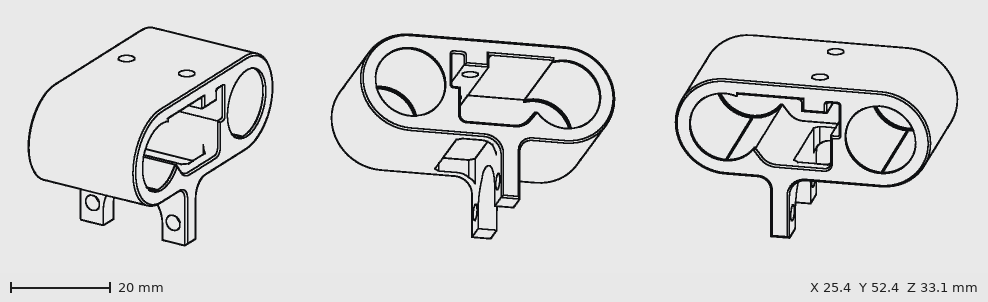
import cadquery as cq
import math

width = 25.4
length = 52.4
end_radius = 10.2
bore_offset = length / 2 - end_radius
edge_chamfer = 0.4

mouth_radius = 7.25
seat_radius = 7.5
lip_thickness = 0.7
seat_length = width - 2 * lip_thickness
groove_width = 0.2
groove_depth = 0.2

tab_bottom = -22.9
tab_back = -2.8
tab_front = -6.65
back_fillet = 3.5
front_fillet = 2.5
tab_hole_x = 9.55
tab_hole_z = -18.55
screw_radius = 1.6
arch_radius = 6.95
arch_center_z = -19.3

ceiling = 7.2
recess_ceiling = 6.9
recess_back = 7.45
ledge_height = -0.15
window_back = 5.65
floor_height = -7.35
floor_back_fillet = 1.25
recess_fillet = 0.4
ceiling_fillet = 0.9
ceiling_end = -13.6
ramp_start = -5.5
ramp_radius = 3.65
ramp_angle = math.radians(52)
crest_y = -9.8

block_back = 4.9
block_front = -0.2
block_bottom = 4.6
top_hole_x = 7.15
top_hole_y = (block_back + block_front) / 2

opening_length = 20.0
opening_front = -2.6
opening_chamfer = 1.05


def extrude_across(sketch):
    """Extrude a YZ outline over the full width, centred on X = 0."""
    return sketch.extrude(width / 2, both=True)


def cylinder_x(radius, y, span):
    """Cylinder along X at height zero, centred on X = 0."""
    return cq.Workplane("YZ").center(y, 0).circle(radius).extrude(span / 2, both=True)


def body_with_tab():
    back_tangent_y = tab_back + back_fillet
    front_tangent_y = tab_front - front_fillet
    outline = (
        cq.Workplane("YZ")
        .moveTo(-bore_offset, end_radius)
        .lineTo(bore_offset, end_radius)
        .threePointArc((length / 2, 0), (bore_offset, -end_radius))
        .lineTo(back_tangent_y, -end_radius)
        .radiusArc((tab_back, -end_radius - back_fillet), -back_fillet)
        .lineTo(tab_back, tab_bottom)
        .lineTo(tab_front, tab_bottom)
        .lineTo(tab_front, -end_radius - front_fillet)
        .radiusArc((front_tangent_y, -end_radius), -front_fillet)
        .lineTo(-bore_offset, -end_radius)
        .threePointArc((-length / 2, 0), (-bore_offset, end_radius))
        .close()
    )
    return extrude_across(outline)


def window():
    """Stepped opening with a curved ramp rising to the edge of the front bore."""
    ramp_end_y = ramp_start - ramp_radius * math.sin(ramp_angle)
    ramp_end_z = floor_height + ramp_radius * (1 - math.cos(ramp_angle))
    crest_z = ramp_end_z + (ramp_end_y - crest_y) * math.tan(ramp_angle)
    outline = (
        cq.Workplane("YZ")
        .moveTo(ceiling_end, ceiling)
        .lineTo(block_front, ceiling)
        .lineTo(block_front, block_bottom)
        .lineTo(block_back, block_bottom)
        .lineTo(block_back, recess_ceiling)
        .lineTo(recess_back, recess_ceiling)
        .lineTo(recess_back, ledge_height)
        .lineTo(window_back, ledge_height)
        .lineTo(window_back, floor_height)
        .lineTo(ramp_start, floor_height)
        .radiusArc((ramp_end_y, ramp_end_z), ramp_radius)
        .lineTo(crest_y, crest_z)
        .lineTo(ceiling_end, crest_z)
        .close()
    )
    return extrude_across(outline)


def edge_along_x(y, z):
    return cq.selectors.NearestToPointSelector((0, y, z))


def rounded_window():
    rounded = window()
    rounded = rounded.edges(edge_along_x(window_back, floor_height)).fillet(floor_back_fillet)
    corners = (
        (block_back, recess_ceiling),
        (recess_back, recess_ceiling),
        (recess_back, ledge_height),
    )
    for y, z in corners:
        rounded = rounded.edges(edge_along_x(y, z)).fillet(recess_fillet)
    return rounded


def chamfer_sides(body):
    """Chamfer both side outlines, except where the ceiling stops square at the front bore."""
    def is_chamfered(edge):
        return abs(edge.Center().y - ceiling_end) > edge_chamfer / 2

    return body.faces("<X or >X").edges().filter(is_chamfered).chamfer(edge_chamfer)


def ceiling_web():
    """Concave fillet between the block and the ceiling, stopping at the side chamfers."""
    return (
        cq.Workplane("YZ")
        .moveTo(block_front, ceiling)
        .lineTo(block_front, ceiling - ceiling_fillet)
        .radiusArc((block_front - ceiling_fillet, ceiling), -ceiling_fillet)
        .close()
        .extrude(width / 2 - edge_chamfer, both=True)
    )


def bearing_bore(y):
    """Through bore, widened between the lips."""
    return cylinder_x(mouth_radius, y, width).union(cylinder_x(seat_radius, y, seat_length))


def seat_groove(y):
    """Fine groove along the bottom of a bearing seat, between the two lips."""
    height = seat_radius + groove_depth
    groove = cq.Workplane("XY").box(seat_length, groove_width, height)
    return groove.translate((0, y, -height / 2))


def floor_opening():
    """Chamfered rectangular opening, from bore height down through the floor and tab fillet."""
    bottom = -end_radius - back_fillet
    return (
        cq.Workplane("XY", origin=(0, (window_back + opening_front) / 2, bottom))
        .rect(opening_length, window_back - opening_front)
        .extrude(-bottom)
        .edges("|Z")
        .chamfer(opening_chamfer)
    )


def tab_cutter():
    """Round-topped gap between the two legs of the tab, with a screw hole on each side."""
    profile = cq.Workplane("XZ")
    gap = (
        profile.moveTo(-arch_radius, tab_bottom)
        .lineTo(-arch_radius, arch_center_z)
        .threePointArc((0, arch_center_z + arch_radius), (arch_radius, arch_center_z))
        .lineTo(arch_radius, tab_bottom)
        .close()
        .extrude(length / 2, both=True)
    )
    holes = profile.pushPoints([(-tab_hole_x, tab_hole_z), (tab_hole_x, tab_hole_z)])
    return gap.union(holes.circle(screw_radius).extrude(length / 2, both=True))


def top_holes():
    places = [(-top_hole_x, top_hole_y), (top_hole_x, top_hole_y)]
    return (
        cq.Workplane("XY", origin=(0, 0, block_bottom))
        .pushPoints(places)
        .circle(screw_radius)
        .extrude(end_radius - block_bottom)
    )


result = body_with_tab().cut(rounded_window())
result = chamfer_sides(result).union(ceiling_web())
for bore_y in (-bore_offset, bore_offset):
    result = result.cut(bearing_bore(bore_y).union(seat_groove(bore_y)))
result = result.cut(floor_opening()).cut(tab_cutter()).cut(top_holes())